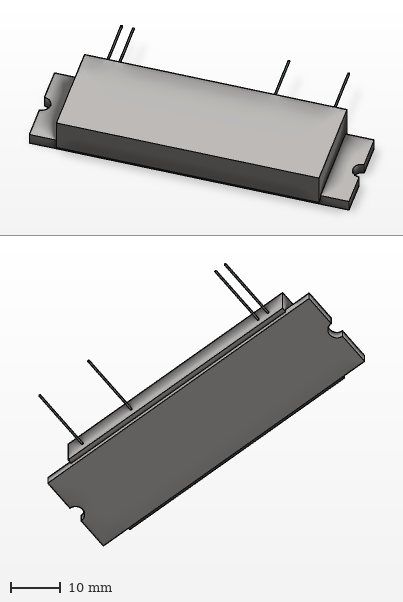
import cadquery as cq

plate_length = 67.0
plate_width = 18.0
plate_thickness = 2.5
notch_diameter = 3.6

case_length = 55.0
case_width = 20.0
case_bottom = 1.5
case_top = 8.5

lead_diameter = 0.4
lead_height = 4.0
overall_width = 34.0
outer_lead_x = 23.8
close_pair_spacing = 2.5
wide_pair_spacing = 12.5
lead_positions = (
    -outer_lead_x,
    -outer_lead_x + close_pair_spacing,
    outer_lead_x - wide_pair_spacing,
    outer_lead_x,
)

case_back = case_width / 2
lead_length = overall_width - case_width


def make_plate():
    """Flat plate with a half-round mounting notch in the middle of each end."""
    plate = cq.Workplane("XY").box(
        plate_length, plate_width, plate_thickness, centered=(True, True, False)
    )
    notches = (
        cq.Workplane("XY")
        .pushPoints([(-plate_length / 2, 0), (plate_length / 2, 0)])
        .circle(notch_diameter / 2)
        .extrude(plate_thickness)
    )
    return plate.cut(notches)


def make_case():
    """Plain rectangular case that starts below the top of the plate."""
    return (
        cq.Workplane("XY")
        .workplane(offset=case_bottom)
        .rect(case_length, case_width)
        .extrude(case_top - case_bottom)
    )


def make_lead(x):
    """Straight round lead along +Y, starting on the back face of the case."""
    start = cq.Vector(x, case_back, lead_height)
    direction = cq.Vector(0, 1, 0)
    cylinder = cq.Solid.makeCylinder(lead_diameter / 2, lead_length, start, direction)
    return cq.Workplane(cylinder)


result = make_plate().union(make_case())
for lead_x in lead_positions:
    result = result.union(make_lead(lead_x))